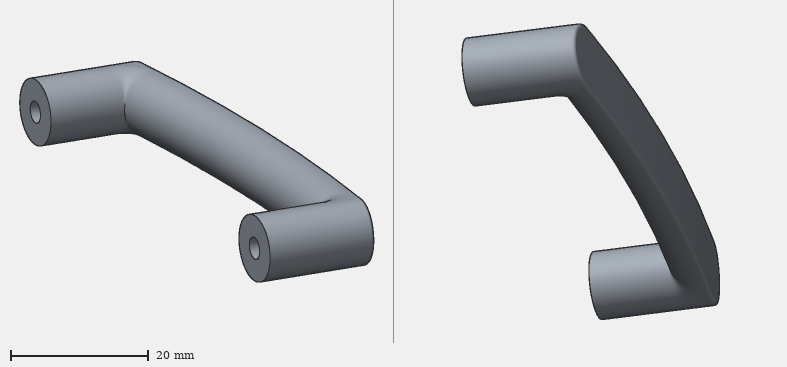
import cadquery as cq
import math

length = 80.0
height = 19.3
width = 10.0
radius = width / 2
leg_offset = length / 2 - radius

back_radius = 360.0
grip_thickness = 6.0
edge_fillet = 0.5
inner_radius = back_radius - grip_thickness
arch_center_y = height - back_radius

grip_start_x = leg_offset - radius
grip_angle = math.degrees(math.asin(grip_start_x / inner_radius))
grip_start_y = arch_center_y + math.sqrt(inner_radius**2 - grip_start_x**2)

raw_depth = 3 * radius

hole_diameter = 3.3
hole_depth = 9.6
drill_point_angle = 118.0


def d_section(plane, nose):
    """D section whose round nose is at the given distance along the plane's first axis."""
    bend = radius * math.sqrt(0.5)
    spring = nose + radius
    return (
        cq.Workplane(plane)
        .moveTo(nose + raw_depth, -radius)
        .lineTo(spring, -radius)
        .threePointArc((spring - bend, -bend), (nose, 0))
        .threePointArc((spring - bend, bend), (spring, radius))
        .lineTo(nose + raw_depth, radius)
        .close()
    )


def make_half_grip():
    """Grip from the middle of the handle to the +X leg."""
    arch_axis = ((arch_center_y, 0), (arch_center_y, -1))
    return d_section("YZ", arch_center_y + inner_radius).revolve(grip_angle, *arch_axis)


def make_leg():
    return cq.Workplane("XZ").center(leg_offset, 0).circle(radius).extrude(-height)


def make_elbow():
    """Tight bend from the +X leg to the grip, turning about the inside corner between them."""
    corner = (grip_start_x, grip_start_y, 0)
    return d_section("XZ", 0).revolve(90 - grip_angle, (0, 0), (0, 1)).translate(corner)


def trim_to_leg_axis(half):
    """Keep what lies between the middle of the handle and the +X leg axis."""
    return half.intersect(cq.Workplane("XY").box(2 * leg_offset, 2 * height + raw_depth, width))


def cut_back_face(handle):
    """Close the handle off with the arched back face and round its rim."""
    arch = cq.Workplane("XY").center(0, arch_center_y).circle(back_radius).extrude(width, both=True)
    return handle.intersect(arch).faces(">Y").edges().fillet(edge_fillet)


def make_hole():
    hole_radius = hole_diameter / 2
    tip_length = hole_radius / math.tan(math.radians(drill_point_angle / 2))
    profile = (
        cq.Workplane("XY")
        .lineTo(hole_radius, 0)
        .lineTo(hole_radius, hole_depth)
        .lineTo(0, hole_depth + tip_length)
        .close()
    )
    return profile.revolve(360, (0, 0), (0, 1)).translate((leg_offset, 0, 0))


half_handle = make_leg().union(trim_to_leg_axis(make_half_grip().union(make_elbow())))
half_handle = half_handle.cut(make_hole())
handle = half_handle.union(half_handle.mirror("YZ"))
result = cut_back_face(handle)